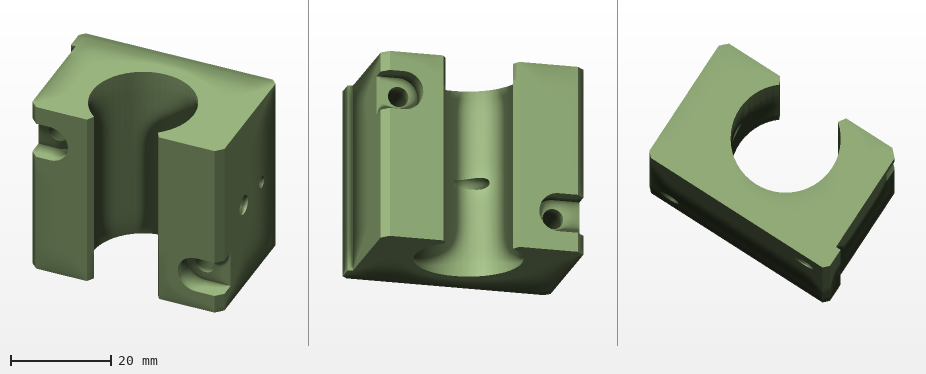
import cadquery as cq
import math

width = 43.0
depth = 28.0
height = 39.0

ledge_overhang = 1.08
ledge_length = 5.0
back_chamfer = 1.08
front_chamfer = 1.5

bore_radius = 11.0
bore_y = 10.0
lip_half_width = 6.95
mouth_half_width = 7.85

screw_x = 16.0
screw_z = 11.5
screw_hole_radius = 2.1
pocket_radius = 4.0
pocket_depth = 4.5

pin_hole_radius = 1.25
pin_hole_y = 20.0
side_hole_radius = 2.1
side_hole_y = 11.15

right = width / 2
left = -width / 2
body_left = left + ledge_overhang
lip_y = bore_y - math.sqrt(bore_radius**2 - lip_half_width**2)


def make_body():
    """Extrude the block profile, including the open bore, along Z."""
    return (
        cq.Workplane("XY")
        .workplane(offset=-height / 2)
        .moveTo(mouth_half_width, 0)
        .lineTo(right - front_chamfer, 0)
        .lineTo(right, front_chamfer)
        .lineTo(right, depth - back_chamfer)
        .lineTo(right - back_chamfer, depth)
        .lineTo(left + back_chamfer, depth)
        .lineTo(left, depth - back_chamfer)
        .lineTo(left, depth - ledge_length)
        .lineTo(body_left, depth - ledge_length)
        .lineTo(body_left, front_chamfer)
        .lineTo(body_left + front_chamfer, 0)
        .lineTo(-mouth_half_width, 0)
        .lineTo(-lip_half_width, lip_y)
        .threePointArc((0, bore_y + bore_radius), (lip_half_width, lip_y))
        .close()
        .extrude(height)
    )


def make_screw_cutter(side):
    """Through hole and head pocket; side is -1 for left, +1 for right."""
    x = side * screw_x
    z = -side * screw_z
    plane = cq.Workplane("XZ").center(x, z)
    hole = plane.circle(screw_hole_radius).extrude(-depth)
    pocket_end = plane.circle(pocket_radius).extrude(-pocket_depth)
    slot_length = right - screw_x
    slot = (
        plane.center(side * slot_length / 2, 0)
        .rect(slot_length, 2 * pocket_radius)
        .extrude(-pocket_depth)
    )
    return hole.union(pocket_end).union(slot)


def make_right_side_hole(y, radius):
    """Hole running along X from the bore's centre plane to the right face."""
    return cq.Workplane("YZ").center(y, 0).circle(radius).extrude(right)


result = make_body()
for side in (-1, 1):
    result = result.cut(make_screw_cutter(side))
result = result.cut(make_right_side_hole(pin_hole_y, pin_hole_radius))
result = result.cut(make_right_side_hole(side_hole_y, side_hole_radius))